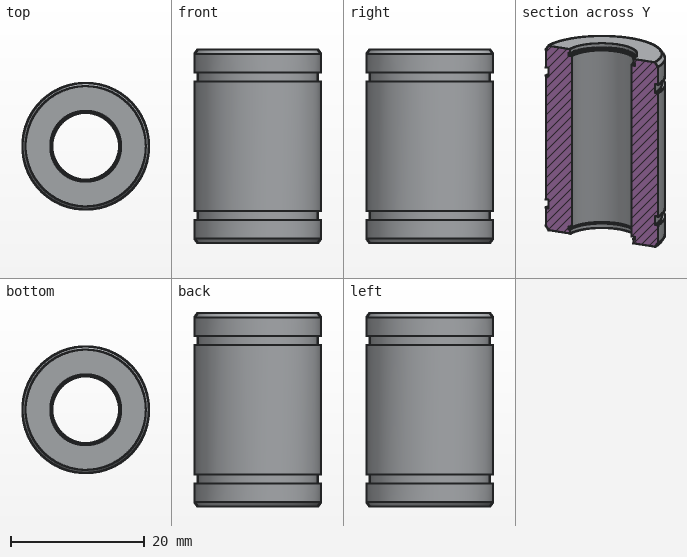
import cadquery as cq

length = 29.0
outer_diameter = 19.0
bore_diameter = 10.0

groove_diameter = 18.0
chamfer_depth = (outer_diameter - groove_diameter) / 2
chamfer_height = 0.7

groove_width = 1.3
groove_outer_spacing = 22.0

mouth_diameter = 10.6
relief_diameter = 11.2
lip_height = 0.7
shoulder_depth = 1.05


def disc(diameter, bottom, height):
    """Solid disc on the Z axis, rising from the given height."""
    return cq.Workplane("XY").workplane(offset=bottom).circle(diameter / 2).extrude(height)


def upper_end_cuts():
    """Groove, bore mouth and relief of the upper half."""
    top = length / 2
    groove_bottom = groove_outer_spacing / 2 - groove_width
    groove = disc(outer_diameter, groove_bottom, groove_width).cut(
        disc(groove_diameter, groove_bottom, groove_width)
    )
    mouth = disc(mouth_diameter, top - shoulder_depth, shoulder_depth)
    relief = disc(relief_diameter, top - shoulder_depth, shoulder_depth - lip_height)
    return groove, mouth, relief


result = disc(outer_diameter, -length / 2, length)
result = result.faces(">Z").chamfer(chamfer_height, chamfer_depth)
result = result.faces("<Z").chamfer(chamfer_height, chamfer_depth)
result = result.cut(disc(bore_diameter, -length / 2, length))

for cutter in upper_end_cuts():
    result = result.cut(cutter).cut(cutter.mirror("XY"))